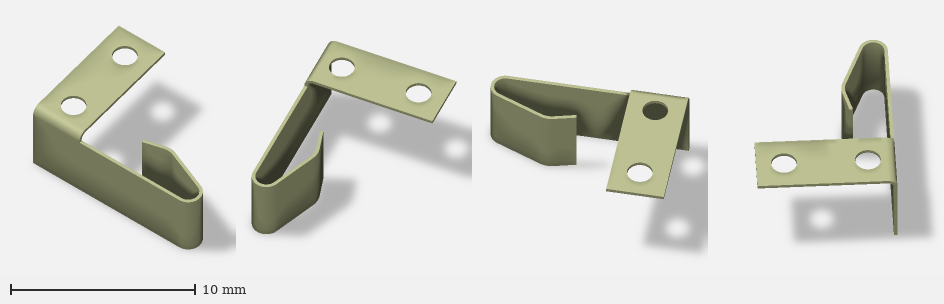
import cadquery as cq
import math

length = 10.82
depth = 7.62
height = 4.45
thickness = 0.2

tab_width = 3.18
tab_bend_radius = 0.53
hole_diameter = 1.4
hole_spacing = 4.57
hole_edge_distance = 1.53
hole_x = 1.6

spring_height = 3.85
hook_radius = 0.8
arm_angle = 22.3
arm_length = 2.74
crest_radius = 1.2
lip_angle = 15.0
lip_length = 1.27


def polar(center, radius, angle):
    """Point at a radius and an angle in degrees from a center."""
    turn = math.radians(angle)
    return (center[0] + radius * math.cos(turn), center[1] + radius * math.sin(turn))


arm_normal = 90 - arm_angle
lip_normal = 90 + lip_angle
hook_middle = (arm_normal - 90) / 2
crest_middle = (arm_normal + lip_normal) / 2

hook_center = (length - hook_radius, hook_radius)
arm_start = polar(hook_center, hook_radius, arm_normal)
arm_end = polar(arm_start, arm_length, arm_normal + 90)
crest_center = polar(arm_end, -crest_radius, arm_normal)


def make_spring():
    """Wall, return bend, arm, crest and lip, extruded upwards."""
    hook_inner = hook_radius - thickness
    crest_inner = crest_radius - thickness
    lip_end = polar(polar(crest_center, crest_radius, lip_normal), lip_length, lip_normal + 90)
    lip_end_inner = polar(lip_end, -thickness, lip_normal)
    return (
        cq.Workplane("XY")
        .moveTo(0, 0)
        .lineTo(*polar(hook_center, hook_radius, -90))
        .threePointArc(polar(hook_center, hook_radius, hook_middle), arm_start)
        .lineTo(*arm_end)
        .threePointArc(
            polar(crest_center, crest_radius, crest_middle),
            polar(crest_center, crest_radius, lip_normal),
        )
        .lineTo(*lip_end)
        .lineTo(*lip_end_inner)
        .lineTo(*polar(crest_center, crest_inner, lip_normal))
        .threePointArc(
            polar(crest_center, crest_inner, crest_middle),
            polar(crest_center, crest_inner, arm_normal),
        )
        .lineTo(*polar(hook_center, hook_inner, arm_normal))
        .threePointArc(
            polar(hook_center, hook_inner, hook_middle),
            polar(hook_center, hook_inner, -90),
        )
        .lineTo(0, thickness)
        .close()
        .extrude(spring_height)
    )


def make_tab():
    """Angle of wall and horizontal tab, joined by a rounded bend."""
    bend_center = (tab_bend_radius, height - tab_bend_radius)
    bend_inner = tab_bend_radius - thickness
    bend_middle = 135
    return (
        cq.Workplane("YZ")
        .moveTo(0, 0)
        .lineTo(*polar(bend_center, tab_bend_radius, 180))
        .threePointArc(
            polar(bend_center, tab_bend_radius, bend_middle),
            polar(bend_center, tab_bend_radius, 90),
        )
        .lineTo(depth, height)
        .lineTo(depth, height - thickness)
        .lineTo(*polar(bend_center, bend_inner, 90))
        .threePointArc(
            polar(bend_center, bend_inner, bend_middle),
            polar(bend_center, bend_inner, 180),
        )
        .lineTo(thickness, 0)
        .close()
        .extrude(tab_width)
    )


def make_holes():
    """Two mounting holes through the tab."""
    far_hole_y = depth - hole_edge_distance
    return (
        cq.Workplane("XY")
        .workplane(offset=height - 2 * thickness)
        .pushPoints([(hole_x, far_hole_y), (hole_x, far_hole_y - hole_spacing)])
        .circle(hole_diameter / 2)
        .extrude(3 * thickness)
    )


result = make_spring().union(make_tab()).cut(make_holes())